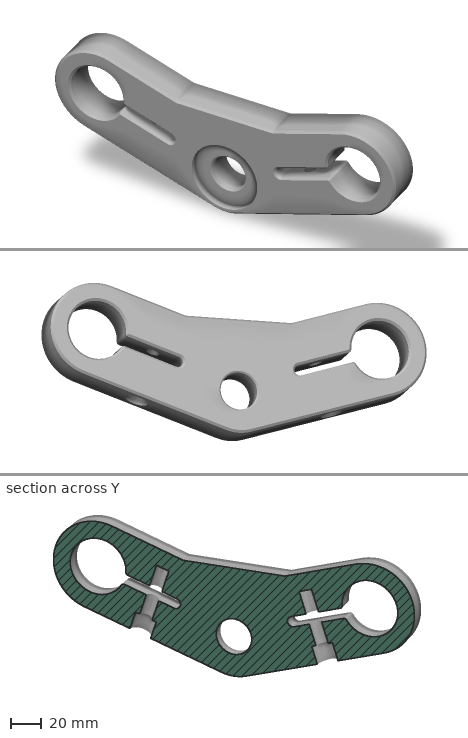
import cadquery as cq
import math


length = 255.0
height = 94.3
thickness = 25.5
arm_slope = 18.0
end_radius = 31.5
hub_radius = 28.0
top_flat_z = 48.5
edge_chamfer = 1.5

bore_diameter = 39.0
slot_width = 7.0
slot_reach = 57.5
lip_radius = 2.0

screw_offset = 41.5
screw_diameter = 9.0
screw_depth = 51.0
head_diameter = 15.0
head_depth = 12.7

stem_diameter = 24.7
stem_chamfer = 1.0
recess_diameter = 49.0
recess_depth = 4.8

match_tolerance = 0.03

end_x = length / 2 - end_radius
end_z = height - hub_radius - end_radius
front_y = -thickness / 2
back_y = thickness / 2
slope_sin = math.sin(math.radians(arm_slope))
slope_cos = math.cos(math.radians(arm_slope))


def arm_point(inwards, across):
    """(x, z) on the right arm, measured from its bore centre: along the arm, then up across it."""
    x = end_x - inwards * slope_cos - across * slope_sin
    z = end_z - inwards * slope_sin + across * slope_cos
    return x, z


def mirrored(point):
    x, z = point
    return -x, z


def disc(x, z, diameter, start_y, depth):
    """Cylinder along +Y."""
    return cq.Workplane(
        cq.Solid.makeCylinder(diameter / 2, depth, cq.Vector(x, start_y, z), cq.Vector(0, 1, 0))
    )


def stem_flare(face_y, inward):
    """Cone that chamfers one end of the stem bore; inward is the +1 or -1 Y direction into the plate."""
    return cq.Workplane(
        cq.Solid.makeCone(
            stem_diameter / 2 + stem_chamfer,
            stem_diameter / 2,
            stem_chamfer,
            cq.Vector(0, face_y, 0),
            cq.Vector(0, inward, 0),
        )
    )


def make_plate():
    upper_tangent = arm_point(0, end_radius)
    lower_tangent = arm_point(0, -end_radius)
    outer_end = arm_point(-end_radius, 0)
    hub_tangent = (hub_radius * slope_sin, -hub_radius * slope_cos)
    upper_x, upper_z = upper_tangent
    bend = (upper_x - (upper_z - top_flat_z) * slope_cos / slope_sin, top_flat_z)
    outline = (
        cq.Workplane("XZ", origin=(0, back_y, 0))
        .moveTo(*mirrored(bend))
        .lineTo(*bend)
        .lineTo(*upper_tangent)
        .threePointArc(outer_end, lower_tangent)
        .lineTo(*hub_tangent)
        .threePointArc((0, -hub_radius), mirrored(hub_tangent))
        .lineTo(*mirrored(lower_tangent))
        .threePointArc(mirrored(outer_end), mirrored(upper_tangent))
        .close()
    )
    return outline.extrude(thickness).faces("<Y or >Y").chamfer(edge_chamfer)


def make_clamp_block():
    """Solid in the shape of the right clamp opening: bore, slot and rounded lips between them."""
    bore = disc(end_x, end_z, bore_diameter, front_y, thickness)
    slot = (
        cq.Workplane("XZ", origin=(0, back_y, 0))
        .center(*arm_point(slot_reach / 2, 0))
        .transformed(rotate=(0, 0, arm_slope))
        .slot2D(slot_reach + slot_width, slot_width)
        .extrude(thickness)
    )
    mouth_x, mouth_z = arm_point(bore_diameter / 2, 0)
    mouth = cq.selectors.BoxSelector(
        (mouth_x - slot_width, front_y, mouth_z - slot_width),
        (mouth_x + slot_width, back_y, mouth_z + slot_width),
    )
    return bore.union(slot).edges("|Y").edges(mouth).fillet(lip_radius)


def cut_clamp(plate, block):
    """Cut one clamp opening and chamfer its rim on both faces of the plate."""
    opened = plate.cut(block)
    rim_centres = [edge.Center() for edge in block.faces("<Y or >Y").edges().vals()]
    rim = [
        edge
        for edge in opened.faces("<Y or >Y").edges().vals()
        if any((edge.Center() - centre).Length < match_tolerance for centre in rim_centres)
    ]
    return opened.newObject(rim).chamfer(edge_chamfer)


def make_screw_hole():
    """Right clamp screw hole: head counterbore in the lower edge, shank across the slot, blind above it."""
    start_x, start_z = arm_point(screw_offset, -end_radius)
    start = cq.Vector(start_x, 0, start_z)
    axis = cq.Vector(-slope_sin, 0, slope_cos)
    shank = cq.Solid.makeCylinder(screw_diameter / 2, screw_depth, start, axis)
    head = cq.Solid.makeCylinder(head_diameter / 2, head_depth, start, axis)
    return cq.Workplane(shank).union(cq.Workplane(head))


def make_stem_hole():
    """Through bore, front recess and a chamfer at each end of the bore."""
    bore = disc(0, 0, stem_diameter, front_y, thickness)
    recess = disc(0, 0, recess_diameter, front_y, recess_depth)
    front_flare = stem_flare(front_y + recess_depth, 1)
    back_flare = stem_flare(back_y, -1)
    return bore.union(recess).union(front_flare).union(back_flare)


clamp_block = make_clamp_block()
screw_hole = make_screw_hole()

result = make_plate()
for clamp in (clamp_block, clamp_block.mirror("YZ")):
    result = cut_clamp(result, clamp)
for screw in (screw_hole, screw_hole.mirror("YZ")):
    result = result.cut(screw)
result = result.cut(make_stem_hole())